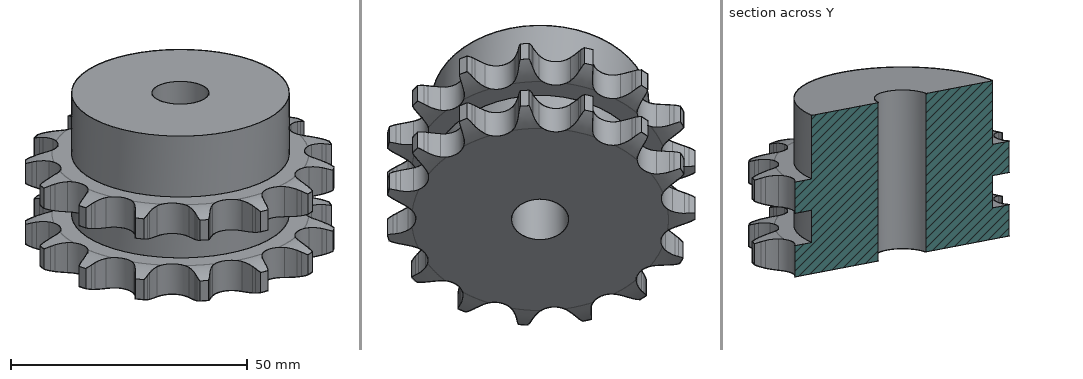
import cadquery as cq
import math

height = 35.0
tooth_count = 15
tip_diameter = 65.5
pitch_diameter = 61.05
roller_diameter = 8.5
hub_diameter = 46.0
bore_diameter = 12.0

relief_start_radius = 27.1
relief_drop = 1.2

plate_thickness = height / 5
plate_bases = (0, 2 * plate_thickness)

seat_clearance = 0.038
center_offset = 0.8 * roller_diameter
top_offset = 1.4 * roller_diameter
seat_slope = math.radians(35 + 60 / tooth_count)
working_sweep = math.radians(18 - 56 / tooth_count)
top_slope = math.radians(17 - 64 / tooth_count)
seat_radius = 0.5025 * roller_diameter + seat_clearance
working_radius = seat_radius + center_offset
straight_length = top_offset * math.sin(top_slope) - center_offset * math.sin(working_sweep)
topping_radius = (
    center_offset * math.cos(working_sweep) + top_offset * math.cos(top_slope) - working_radius
)

tip_radius = tip_diameter / 2
tooth_pitch = 2 * math.pi / tooth_count
first_tooth = -math.pi / 2


def offset(origin, distance, angle):
    """Point at a distance from an origin; angles run from -Y (0) toward +X (90 degrees)."""
    return (origin[0] + distance * math.sin(angle), origin[1] - distance * math.cos(angle))


def turned(point, angle, mirrored=False):
    """Point rotated about the axis, mirrored first across the gap centerline if asked."""
    x = -point[0] if mirrored else point[0]
    y = point[1]
    return (x * math.cos(angle) - y * math.sin(angle), x * math.sin(angle) + y * math.cos(angle))


seat_center = (0, pitch_diameter / 2)
seat_bottom = offset(seat_center, seat_radius, 0)
seat_end_angle = math.pi / 2 - seat_slope
seat_end = offset(seat_center, seat_radius, seat_end_angle)

working_center = offset(seat_center, -center_offset, seat_end_angle)
working_end_angle = seat_end_angle + working_sweep
working_middle = offset(working_center, working_radius, seat_end_angle + working_sweep / 2)
working_end = offset(working_center, working_radius, working_end_angle)

straight_end = offset(working_end, straight_length, working_end_angle + math.pi / 2)

topping_center = offset(straight_end, topping_radius, working_end_angle)
topping_center_distance = math.hypot(*topping_center)
topping_center_bearing = math.atan2(*topping_center)
tip_cosine = (tip_radius**2 - topping_center_distance**2 - topping_radius**2) / (
    2 * topping_radius * topping_center_distance
)
tip_corner_angle = math.acos(tip_cosine) - topping_center_bearing
topping_middle_angle = (working_end_angle + tip_corner_angle) / 2
topping_middle = offset(topping_center, -topping_radius, topping_middle_angle)
tip_corner = offset(topping_center, -topping_radius, tip_corner_angle)


def tooth_outline():
    """Closed outline running counterclockwise through every tooth gap and tooth tip."""
    first_gap = first_tooth + tooth_pitch / 2 - math.pi / 2
    outline = cq.Workplane("XY").moveTo(*turned(tip_corner, first_gap))
    for index in range(tooth_count):
        gap = first_gap + index * tooth_pitch
        tip_middle = turned((0, tip_radius), gap + tooth_pitch / 2)
        outline = (
            outline.threePointArc(turned(topping_middle, gap), turned(straight_end, gap))
            .lineTo(*turned(working_end, gap))
            .threePointArc(turned(working_middle, gap), turned(seat_end, gap))
            .threePointArc(turned(seat_bottom, gap), turned(seat_end, gap, True))
            .threePointArc(turned(working_middle, gap, True), turned(working_end, gap, True))
            .lineTo(*turned(straight_end, gap, True))
            .threePointArc(turned(topping_middle, gap, True), turned(tip_corner, gap, True))
            .threePointArc(tip_middle, turned(tip_corner, gap + tooth_pitch))
        )
    return outline.close()


def rounded_disc():
    """Plate blank whose rim curves away from both flat faces toward the tip circle."""
    run = tip_radius - relief_start_radius
    relief_radius = (run**2 + relief_drop**2) / (2 * relief_drop)
    half_sweep = math.asin(run / relief_radius) / 2
    middle_radius = relief_start_radius + relief_radius * math.sin(half_sweep)
    middle_drop = relief_radius * (1 - math.cos(half_sweep))
    profile = (
        cq.Workplane("XZ")
        .lineTo(relief_start_radius, 0)
        .threePointArc((middle_radius, middle_drop), (tip_radius, relief_drop))
        .lineTo(tip_radius, plate_thickness - relief_drop)
        .threePointArc(
            (middle_radius, plate_thickness - middle_drop),
            (relief_start_radius, plate_thickness),
        )
        .lineTo(0, plate_thickness)
        .close()
    )
    return profile.revolve(360, (0, 0, 0), (0, 1, 0))


toothed_plate = tooth_outline().extrude(plate_thickness).intersect(rounded_disc())
sprocket = cq.Workplane("XY").circle(hub_diameter / 2).extrude(height)
for base in plate_bases:
    sprocket = sprocket.union(toothed_plate.translate((0, 0, base)))
bore = cq.Workplane("XY").circle(bore_diameter / 2).extrude(height)
result = sprocket.cut(bore)